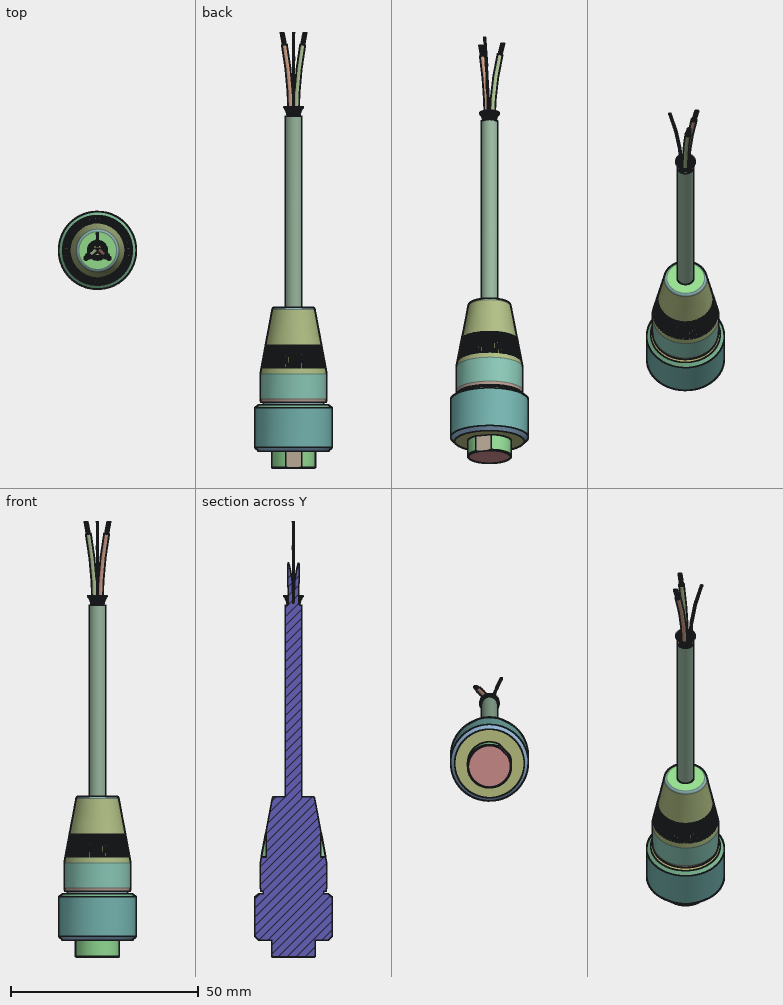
import cadquery as cq
import math

TOTAL_HEIGHT = 115.82

NOSE_DIAMETER = 11.7
NOSE_CHAMFER = 0.25
NOSE_FLAT_DISTANCE = 5.45

RING_DIAMETER = 20.71
RING_BOTTOM = 4.4
RING_TOP = 16.85
RING_CHAMFER_WIDTH = 1.1
RING_BOTTOM_CHAMFER_HEIGHT = 1.1
RING_TOP_CHAMFER_HEIGHT = 0.85

NECK_DIAMETER = 16.2
BARREL_DIAMETER = 17.78
BARREL_BOTTOM = 17.45
BARREL_TOP = 25.1
BARREL_CHAMFER_HEIGHT = 1.0
BARREL_CHAMFER_WIDTH = 0.15
TAPER_TOP = 42.75
TAPER_TOP_DIAMETER = 11.2
TAPER_FILLET = 0.7

GRIP_BOTTOM = 26.65
GRIP_TOP = 32.65
GRIP_FLOOR_DIAMETER = 14.61
GROOVE_COUNT = 60
GROOVE_WIDTH = 0.4

CABLE_DIAMETER = 4.5
CABLE_TOP = 93.65
BRAID_TOP = 96.05
BRAID_DIAMETER = 3.42
BRAID_BEND_RADIUS = 3.6
BRAID_STRAND_COUNT = 36
STRAND_DIAMETER = 0.2

BEND_START = CABLE_TOP - 0.5
WIRE_DIAMETER = 1.41
WIRE_INSULATION_TOP = 112.6
WIRE_SPREAD_X = 2.35
WIRE_SPREAD_Y = -1.95
WIRE_START_X = 0.72
WIRE_START_Y = -0.15
DRAIN_START_Y = 1.2
DRAIN_SPREAD = 3.2

STRAND_PITCH = 0.95 * STRAND_DIAMETER
TRIM_ALLOWANCE = 0.2


def nose():
    body = cq.Workplane("XY").circle(NOSE_DIAMETER / 2).extrude(RING_BOTTOM)
    body = body.faces("<Z").edges().chamfer(NOSE_CHAMFER)
    beyond_flat = cq.Workplane("XY").box(
        NOSE_DIAMETER, NOSE_DIAMETER, RING_BOTTOM, centered=(True, False, False)
    )
    return body.cut(beyond_flat.translate((0, NOSE_FLAT_DISTANCE, 0)))


def coupling_ring():
    radius = RING_DIAMETER / 2
    end_radius = radius - RING_CHAMFER_WIDTH
    profile = (
        cq.Workplane("XZ")
        .moveTo(0, RING_BOTTOM)
        .lineTo(end_radius, RING_BOTTOM)
        .lineTo(radius, RING_BOTTOM + RING_BOTTOM_CHAMFER_HEIGHT)
        .lineTo(radius, RING_TOP - RING_TOP_CHAMFER_HEIGHT)
        .lineTo(end_radius, RING_TOP)
        .lineTo(0, RING_TOP)
        .close()
    )
    return profile.revolve(360, (0, 0), (0, 1))


def shell():
    barrel_radius = BARREL_DIAMETER / 2
    neck_radius = NECK_DIAMETER / 2
    profile = (
        cq.Workplane("XZ")
        .moveTo(0, RING_TOP)
        .lineTo(neck_radius, RING_TOP)
        .lineTo(neck_radius, BARREL_BOTTOM)
        .lineTo(barrel_radius - BARREL_CHAMFER_WIDTH, BARREL_BOTTOM)
        .lineTo(barrel_radius, BARREL_BOTTOM + BARREL_CHAMFER_HEIGHT)
        .lineTo(barrel_radius, BARREL_TOP)
        .lineTo(TAPER_TOP_DIAMETER / 2, TAPER_TOP)
        .lineTo(0, TAPER_TOP)
        .close()
    )
    body = profile.revolve(360, (0, 0), (0, 1))
    return body.faces(">Z").edges().fillet(TAPER_FILLET)


def grip_grooves():
    """Flat-floored grooves around the taper; the material left between them forms the ribs."""
    floor_radius = GRIP_FLOOR_DIAMETER / 2
    profile = (
        cq.Workplane("XZ")
        .moveTo(floor_radius, GRIP_BOTTOM)
        .lineTo(BARREL_DIAMETER / 2, GRIP_BOTTOM)
        .lineTo(BARREL_DIAMETER / 2, GRIP_TOP)
        .lineTo(floor_radius, GRIP_TOP)
        .close()
    )
    groove = profile.extrude(GROOVE_WIDTH / 2, both=True).val()
    pitch_angle = 360 / GROOVE_COUNT
    return [groove.rotate((0, 0, 0), (0, 0, 1), index * pitch_angle) for index in range(GROOVE_COUNT)]


def cable():
    length = CABLE_TOP - TAPER_TOP
    return cq.Workplane("XY").workplane(offset=TAPER_TOP).circle(CABLE_DIAMETER / 2).extrude(length)


def bent_rod(section, start, direction, bend_radius, height):
    """Rod along an arc that starts upright, leans towards the direction and rises by the height."""
    plane = cq.Plane(origin=start, xDir=(direction[0], direction[1], 0), normal=(0, 0, 1))
    sweep_angle = math.degrees(math.asin(height / bend_radius))
    return (
        cq.Workplane(plane)
        .placeSketch(section)
        .revolve(sweep_angle, (bend_radius, 0), (bend_radius, 1))
    )


def strand_bundle(layers):
    """Round section of parallel strands: one at the centre and six more per layer."""
    section = cq.Sketch().circle(STRAND_DIAMETER / 2)
    for layer in range(1, layers + 1):
        section = section.parray(layer * STRAND_PITCH, 0, 360, 6 * layer)
        section = section.circle(STRAND_DIAMETER / 2).reset()
    return section.clean()


def bend_radius_for(sideways, height):
    """Radius of an arc that starts vertical and moves sideways over the given height."""
    return (sideways**2 + height**2) / (2 * sideways)


def braid():
    """Cable shield, flared outwards as a ring of single strands."""
    section = cq.Sketch().circle(STRAND_DIAMETER / 2)
    root_radius = (BRAID_DIAMETER - STRAND_DIAMETER) / 2
    strands = []
    for index in range(BRAID_STRAND_COUNT):
        angle = 2 * math.pi * index / BRAID_STRAND_COUNT
        direction = (math.cos(angle), math.sin(angle))
        start = (root_radius * direction[0], root_radius * direction[1], CABLE_TOP)
        strand = bent_rod(section, start, direction, BRAID_BEND_RADIUS, BRAID_TOP - CABLE_TOP)
        strands.append(strand.val())
    return strands


def insulated_wire(side):
    """Wire on the side -1 or +1 of X, with its conductor bared at the top."""
    start = (side * WIRE_START_X, WIRE_START_Y, BEND_START)
    direction = (side * WIRE_SPREAD_X, WIRE_SPREAD_Y)
    rise = TOTAL_HEIGHT - BEND_START
    bend_radius = bend_radius_for(math.hypot(*direction), rise)
    sleeve = cq.Sketch().circle(WIRE_DIAMETER / 2)
    insulation = bent_rod(sleeve, start, direction, bend_radius, WIRE_INSULATION_TOP - BEND_START)
    conductor = bent_rod(strand_bundle(2), start, direction, bend_radius, rise + TRIM_ALLOWANCE)
    return insulation.union(conductor)


def drain_wire():
    rise = TOTAL_HEIGHT - BEND_START
    bend_radius = bend_radius_for(DRAIN_SPREAD, rise)
    start = (0, DRAIN_START_Y, BEND_START)
    return bent_rod(strand_bundle(1), start, (0, 1), bend_radius, rise + TRIM_ALLOWANCE)


def trim_above(body):
    """Cut the wire ends off level at the total height."""
    waste = cq.Workplane("XY").box(RING_DIAMETER, RING_DIAMETER, RING_DIAMETER, centered=(True, True, False))
    return body.cut(waste.translate((0, 0, TOTAL_HEIGHT)))


housing = nose().union(coupling_ring()).union(shell()).val().cut(*grip_grooves())
wires = [insulated_wire(-1).val(), insulated_wire(1).val(), drain_wire().val()]
cord = cable().val().fuse(*wires).fuse(*braid())
result = trim_above(cq.Workplane(housing.fuse(cord)))